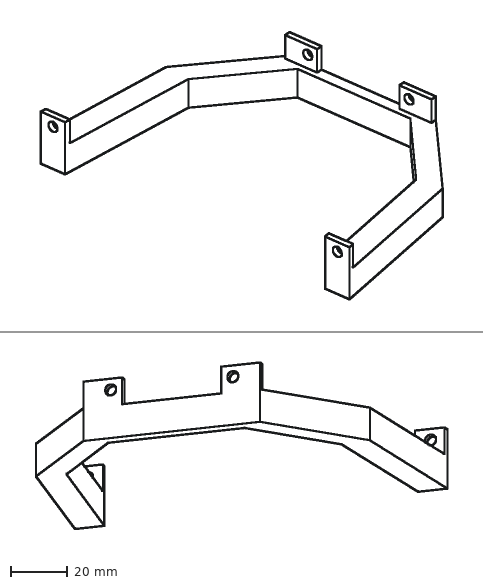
import cadquery as cq

width = 140.0
depth = 95.0
height = 22.1

band_height = 12.2
rear_wall = 5.0
knee_outer_x = 62.7
knee_outer_y = 62.0
knee_inner_x = 51.7
knee_inner_y = 60.8
rear_outer_x = 33.2
rear_inner_x = 25.6

foot_width = 11.0
foot_outer_x = width / 2
foot_inner_x = foot_outer_x - foot_width

tab_thickness = 2.5
rear_tab_width = 14.5
hole_diameter = 4.0
hole_z = height - 4.2
foot_hole_x = foot_outer_x - foot_width / 2
rear_hole_x = 23.0


def extrude_band(extrude_height):
    """Open five-sided band outline, feet at the front (Y = 0), raised to a height."""
    outer = [
        (foot_outer_x, 0),
        (knee_outer_x, knee_outer_y),
        (rear_outer_x, depth),
    ]
    inner = [
        (rear_inner_x, depth - rear_wall),
        (knee_inner_x, knee_inner_y),
        (foot_inner_x, 0),
    ]
    outer_path = outer + [(-x, y) for x, y in reversed(outer)]
    inner_path = [(-x, y) for x, y in reversed(inner)] + inner
    return cq.Workplane("XY").polyline(outer_path + inner_path).close().extrude(extrude_height)


def make_foot_tabs():
    """Upright plates at the leg ends, with sides flush with the slanted legs."""
    front_slab = cq.Workplane("XY").box(width, tab_thickness, height, centered=(True, False, False))
    return extrude_band(height).intersect(front_slab)


def make_rear_tab(side):
    """Upright plate at one rear corner (-1 left, +1 right)."""
    plate = cq.Workplane("XY").box(rear_tab_width, tab_thickness, height, centered=(True, False, False))
    center_x = side * (rear_outer_x - rear_tab_width / 2)
    return plate.translate((center_x, depth - tab_thickness, 0))


def make_tab_holes():
    """Cylinders along Y, one through each of the four tabs."""
    centers = [(side * x, hole_z) for side in (-1, 1) for x in (foot_hole_x, rear_hole_x)]
    return cq.Workplane("XZ").pushPoints(centers).circle(hole_diameter / 2).extrude(-depth)


result = extrude_band(band_height).union(make_foot_tabs())
for side in (-1, 1):
    result = result.union(make_rear_tab(side))
result = result.cut(make_tab_holes())